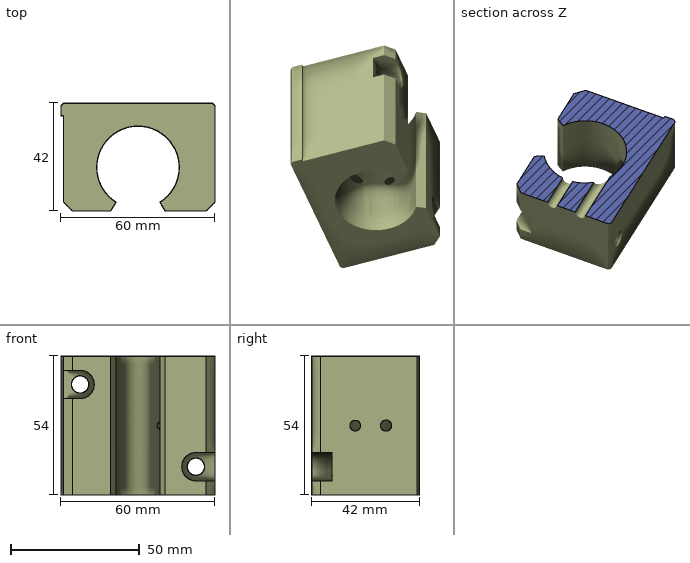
import math

import cadquery as cq

HEIGHT = 54.0
HALF_WIDTH = 30.0
BACK_Y = 25.0
FRONT_Y = -17.0

EDGE_PROJECTION = 1.0
EDGE_DEPTH = 5.0
LEFT_X = -HALF_WIDTH + EDGE_PROJECTION

BACK_CHAMFER = 1.0
FRONT_CHAMFER = 3.5

BORE_RADIUS = 16.0

MOUTH_LEFT_REACH = 10.6
MOUTH_LEFT_ANGLE = math.radians(32)
MOUTH_RIGHT_REACH = 10.5
MOUTH_RIGHT_ANGLE = math.radians(30)

MOUNT_SPACING_X = 45.0
MOUNT_SPACING_Z = 32.0
MOUNT_HOLE_DIAMETER = 6.65
RECESS_WIDTH = 11.0
RECESS_DEPTH = 8.0

CROSS_HOLES = [(0.0, 4.13), (12.0, 4.3)]

MID_Z = HEIGHT / 2


def make_block():
    """Extrude the outer outline of the block."""
    outline = [
        (-HALF_WIDTH + BACK_CHAMFER, BACK_Y),
        (HALF_WIDTH - BACK_CHAMFER, BACK_Y),
        (HALF_WIDTH, BACK_Y - BACK_CHAMFER),
        (HALF_WIDTH, FRONT_Y + FRONT_CHAMFER),
        (HALF_WIDTH - FRONT_CHAMFER, FRONT_Y),
        (LEFT_X + FRONT_CHAMFER, FRONT_Y),
        (LEFT_X, FRONT_Y + FRONT_CHAMFER),
        (LEFT_X, BACK_Y - EDGE_DEPTH),
        (-HALF_WIDTH, BACK_Y - EDGE_DEPTH),
        (-HALF_WIDTH, BACK_Y - BACK_CHAMFER),
    ]
    return cq.Workplane("XY").polyline(outline).close().extrude(HEIGHT)


def make_open_bore():
    """Round bore joined to a mouth that widens toward the front face."""
    bore = cq.Workplane("XY").circle(BORE_RADIUS).extrude(HEIGHT)
    left_inner = MOUTH_LEFT_REACH + FRONT_Y * math.tan(MOUTH_LEFT_ANGLE)
    right_inner = MOUTH_RIGHT_REACH + FRONT_Y * math.tan(MOUTH_RIGHT_ANGLE)
    outline = [
        (-MOUTH_LEFT_REACH, FRONT_Y),
        (MOUTH_RIGHT_REACH, FRONT_Y),
        (right_inner, 0),
        (-left_inner, 0),
    ]
    mouth = cq.Workplane("XY").polyline(outline).close().extrude(HEIGHT)
    return bore.union(mouth)


def make_mounting_hole(side):
    """Through hole along Y with a round-ended recess open to one side (-1 left, +1 right)."""
    x = side * MOUNT_SPACING_X / 2
    z = MID_Z - side * MOUNT_SPACING_Z / 2
    front_plane = cq.Workplane("XZ", origin=(x, FRONT_Y, z))
    hole = front_plane.circle(MOUNT_HOLE_DIAMETER / 2).extrude(FRONT_Y - BACK_Y)
    round_end = front_plane.circle(RECESS_WIDTH / 2).extrude(-RECESS_DEPTH)
    run_out = HALF_WIDTH - MOUNT_SPACING_X / 2
    opening = (
        front_plane.center(side * run_out / 2, 0)
        .rect(run_out, RECESS_WIDTH)
        .extrude(-RECESS_DEPTH)
    )
    return hole.union(round_end).union(opening)


def make_cross_hole(y, diameter):
    """Hole along X from the bore through the right side."""
    return cq.Workplane("YZ", origin=(0, y, MID_Z)).circle(diameter / 2).extrude(HALF_WIDTH)


result = make_block().cut(make_open_bore())
for side in (-1, 1):
    result = result.cut(make_mounting_hole(side))
for hole_y, hole_diameter in CROSS_HOLES:
    result = result.cut(make_cross_hole(hole_y, hole_diameter))